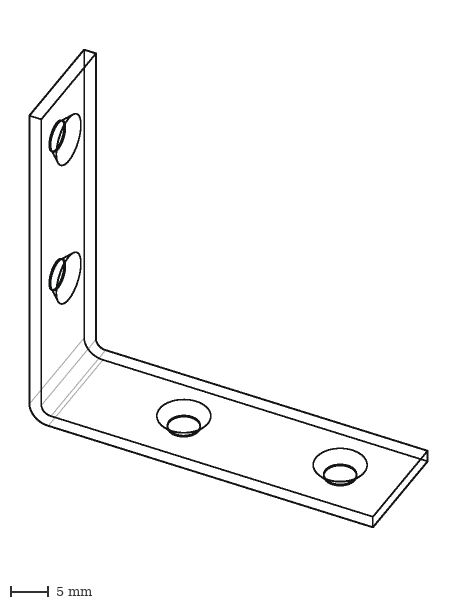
import cadquery as cq
import math

leg_length = 50.8
width = 15.9
thickness = 1.8

inner_radius = 1.35
outer_radius = 2.75

hole_diameter = 4.3
countersink_diameter = 7.1
countersink_depth = 1.6
countersink_angle = 2 * math.degrees(
    math.atan((countersink_diameter - hole_diameter) / 2 / countersink_depth)
)
first_hole = 18.8
hole_spacing = 23.1
hole_positions = [first_hole, first_hole + hole_spacing]


def bent_strip():
    """L-shaped strip with rounded inner and outer corners."""
    strip = (
        cq.Workplane("XZ")
        .polyline([
            (0, 0),
            (leg_length, 0),
            (leg_length, thickness),
            (thickness, thickness),
            (thickness, leg_length),
            (0, leg_length),
        ])
        .close()
        .extrude(width / 2, both=True)
    )
    inner_corner = cq.selectors.NearestToPointSelector((thickness, 0, thickness))
    outer_corner = cq.selectors.NearestToPointSelector((0, 0, 0))
    strip = strip.edges("|Y").edges(inner_corner).fillet(inner_radius)
    return strip.edges("|Y").edges(outer_corner).fillet(outer_radius)


def drill_inner_face(body, face_plane, points):
    """Drill through a leg, countersinking from its inner face."""
    return (
        body.copyWorkplane(cq.Workplane(face_plane))
        .pushPoints(points)
        .cskHole(hole_diameter, countersink_diameter, countersink_angle, depth=thickness)
    )


base_face = cq.Plane(origin=(0, 0, thickness), xDir=(1, 0, 0), normal=(0, 0, 1))
upright_face = cq.Plane(origin=(thickness, 0, 0), xDir=(0, 1, 0), normal=(1, 0, 0))

result = bent_strip()
result = drill_inner_face(result, base_face, [(x, 0) for x in hole_positions])
result = drill_inner_face(result, upright_face, [(0, z) for z in hole_positions])